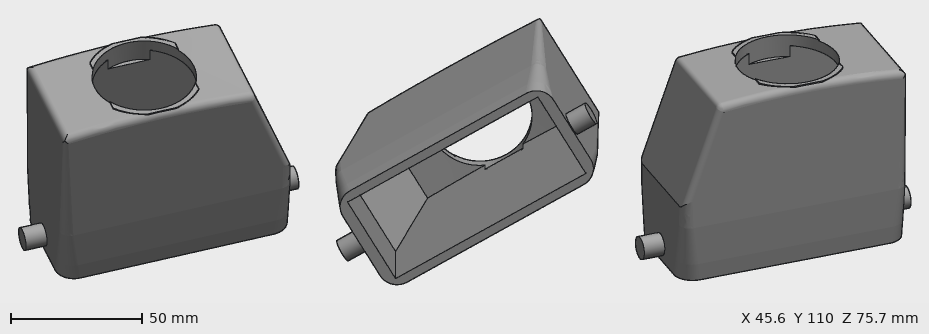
import cadquery as cq
import math

overall_length = 110.0
overall_height = 75.7
half_width = 22.8
half_length = 46.6
wall = 4.5
cavity_half_width = 18.0
loft_height = 79.2

end_taper = 0.9 / loft_height


def end_half_length(height):
    return half_length - end_taper * height


foot_height = 7.2
shoulder_height = 23.4
body_stages = [
    (0.0, 21.6, end_half_length(0), 7.6),
    (foot_height, 22.1, end_half_length(foot_height), 6.6),
    (shoulder_height, half_width, end_half_length(shoulder_height), 4.3),
    (loft_height, half_width, end_half_length(loft_height), 1.3),
]

crown_height = 75.6
roof_radius = 363.0
slope_foot = (46.6, 30.8)
slope_head = (30.9, 74.6)
roof_fillet = 2.9
slope_fillet = 2.4
ridge_fillet = 2.2

entry_y = -5.8
entry_radius = 19.9
entry_depth = 9.4
pad_radius = 22.1
pad_half_width = 21.3
pad_half_length = 17.3
pad_depth = 2.2

peg_radius = 4.5
peg_height = 6.4


def rounded_frame(height, half_x, half_y, radius):
    """Horizontal rounded rectangle used as a loft section."""
    frame = cq.Sketch().rect(2 * half_x, 2 * half_y).vertices().fillet(radius)
    return frame.moved(cq.Location(cq.Vector(0, 0, height)))


def roof_envelope(inset, half_x):
    """Block under the crowned roof, moved inward by inset; its front end is drafted."""
    radius = roof_radius - inset
    front_y = inset - end_half_length(crown_height)
    rear_y = half_length

    def roof_z(y):
        return crown_height - roof_radius + math.sqrt(radius**2 - (y - entry_y) ** 2)

    return (
        cq.Workplane("YZ")
        .moveTo(inset - half_length, 0)
        .lineTo(front_y, roof_z(front_y))
        .threePointArc((entry_y, crown_height - inset), (rear_y, roof_z(rear_y)))
        .lineTo(rear_y, 0)
        .close()
        .extrude(half_x, both=True)
    )


def slope_envelope(inset, half_x):
    """Block under the sloping rear face, moved inward by inset."""
    run = slope_foot[0] - slope_head[0]
    rise = slope_head[1] - slope_foot[1]
    offset = inset * math.hypot(run, rise) / rise
    base_y = slope_foot[0] + slope_foot[1] * run / rise - offset
    top_y = base_y - loft_height * run / rise
    corners = [(-overall_length, 0), (base_y, 0), (top_y, loft_height), (-overall_length, loft_height)]
    return cq.Workplane("YZ").polyline(corners).close().extrude(half_x, both=True)


def make_shell_exterior():
    frames = [rounded_frame(*stage) for stage in body_stages]
    body = cq.Workplane().placeSketch(*frames).loft(ruled=True)
    slope = slope_envelope(0, half_width)
    slope = slope.faces(">Y").edges("not |X").fillet(slope_fillet)
    roof = roof_envelope(0, half_width)
    crown_point = (0, entry_y, crown_height)
    roof = roof.faces(cq.selectors.NearestToPointSelector(crown_point))
    roof = roof.edges("not(>Y and |X)").fillet(roof_fillet)
    body = body.intersect(slope).intersect(roof)
    ridge = body.edges("|X").edges(cq.selectors.NearestToPointSelector((0, *slope_head)))
    return ridge.fillet(ridge_fillet)


def make_cavity():
    inner_half_y = half_length - wall
    block = cq.Workplane().rect(2 * cavity_half_width, 2 * inner_half_y).extrude(loft_height)
    block = block.intersect(slope_envelope(wall, cavity_half_width))
    return block.intersect(roof_envelope(wall, cavity_half_width))


def make_entry_pad():
    pad = cq.Workplane().circle(pad_radius).extrude(pad_depth)
    trim = cq.Workplane().rect(2 * pad_half_width, 2 * pad_half_length).extrude(pad_depth)
    return pad.intersect(trim).translate((0, entry_y, overall_height - pad_depth))


def make_entry_bore():
    bore = cq.Workplane().circle(entry_radius).extrude(entry_depth)
    return bore.translate((0, entry_y, overall_height - entry_depth))


def make_peg(side):
    """Peg from the middle of an end wall outward; side is +1 or -1 along Y."""
    root_y = half_length - wall / 2
    length = overall_length / 2 - root_y
    start = cq.Vector(0, side * root_y, peg_height)
    return cq.Workplane(cq.Solid.makeCylinder(peg_radius, length, start, cq.Vector(0, side, 0)))


result = make_shell_exterior().union(make_entry_pad())
result = result.cut(make_cavity()).cut(make_entry_bore())
for side in (-1, 1):
    result = result.union(make_peg(side))